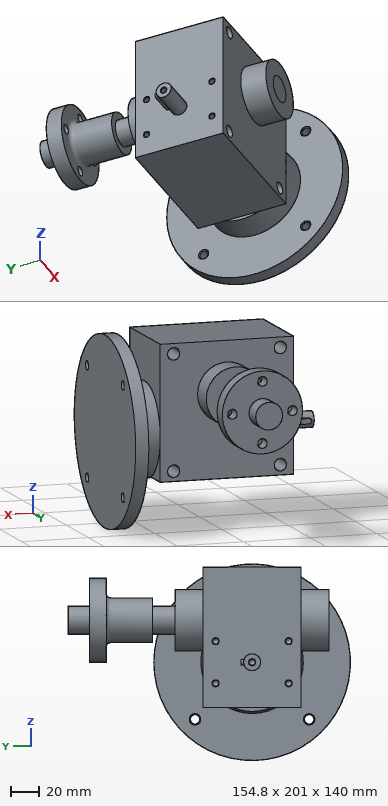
import cadquery as cq
import math


overall_depth = 201.0

housing_length = 100.0
housing_width = 70.0
housing_height = 100.0
housing_side = housing_width / 2
housing_end = housing_length / 2

screw_diameter = 20.0
screw_height = 30.0
screw_to_housing_top = 37.8
housing_top = screw_height + screw_to_housing_top
housing_middle_height = housing_top - housing_height / 2

boss_diameter = 44.0
boss_length = 19.9
boss_face = housing_side + boss_length

mounting_hole_diameter = 9.0
mounting_pitch_x = 80.0
mounting_pitch_z = 85.0

tapped_hole_diameter = 4.2
tapped_hole_depth = 10.0
tapped_pitch_y = 52.0
tapped_pitch_z = 30.0
drill_point_angle = 118

countersink_angle = 90
tapped_hole_mouth_diameter = 5.0

neck_length = 20.0
neck_start_diameter = 70.0
neck_end_diameter = 73.0
flange_diameter = 140.0
flange_thickness = 9.8
flange_hole_diameter = 6.6
flange_hole_mouth_diameter = 8.0
flange_hole_start_angle = 45
flange_hole_circle = 115.0
flange_hole_count = 4
flange_inner_face = housing_end + neck_length

screw_front_end = -boss_face
screw_back_end = overall_depth - flange_diameter / 2

nut_length = 45.0
nut_barrel_diameter = 32.0
nut_flange_diameter = 60.0
nut_flange_thickness = 12.0
nut_fillet = 3.0
nut_hole_diameter = 7.0
nut_hole_circle = 45.0
nut_hole_count = 4
screw_beyond_nut = 15.0
nut_back_face = screw_back_end - screw_beyond_nut

shaft_diameter = 12.0
shaft_length = 25.0
shaft_tip = -housing_end - shaft_length
key_length = 19.9
key_width = 4.0
key_height = 4.0
key_projection = 2.0
key_bottom = shaft_diameter / 2 + key_projection - key_height


def cylinder_x(diameter, start, length):
    """Cylinder on the input shaft axis, running towards +X."""
    return cq.Workplane("YZ", origin=(start, 0, 0)).circle(diameter / 2).extrude(length)


def cylinder_y(diameter, start, end):
    """Cylinder on the screw axis between two Y positions."""
    plane = cq.Workplane("XZ", origin=(0, end, screw_height))
    return plane.circle(diameter / 2).extrude(end - start)


def drilled_hole(x, y, z):
    """Cutter for a blind, countersunk hole with a drill point, entering towards +X."""
    radius = tapped_hole_diameter / 2
    mouth_radius = tapped_hole_mouth_diameter / 2
    mouth_depth = (mouth_radius - radius) / math.tan(math.radians(countersink_angle / 2))
    point_length = radius / math.tan(math.radians(drill_point_angle / 2))
    profile = (
        cq.Workplane("XY")
        .lineTo(0, mouth_radius)
        .lineTo(mouth_depth, radius)
        .lineTo(tapped_hole_depth, radius)
        .lineTo(tapped_hole_depth + point_length, 0)
        .close()
    )
    cutter = profile.revolve(360, (0, 0, 0), (1, 0, 0))
    return cutter.translate((x, y, z))


def make_flange():
    """Tapered neck and round motor flange."""
    neck = (
        cq.Workplane("XZ")
        .moveTo(housing_end, 0)
        .lineTo(housing_end, neck_start_diameter / 2)
        .lineTo(flange_inner_face, neck_end_diameter / 2)
        .lineTo(flange_inner_face, 0)
        .close()
        .revolve(360, (0, 0, 0), (1, 0, 0))
    )
    plate = (
        cylinder_x(flange_diameter, flange_inner_face, flange_thickness)
        .faces("<X")
        .workplane()
        .polarArray(flange_hole_circle / 2, flange_hole_start_angle, 360, flange_hole_count)
        .cskHole(flange_hole_diameter, flange_hole_mouth_diameter, countersink_angle)
    )
    return plate.union(neck)


def make_housing():
    """Block with bosses, motor flange, screw bore, mounting and tapped holes."""
    block = cq.Workplane("XY").box(housing_length, housing_width, housing_height)
    block = block.translate((0, 0, housing_middle_height))
    mounting_holes = (
        cq.Workplane("XZ", origin=(0, housing_side, housing_middle_height))
        .rarray(mounting_pitch_x, mounting_pitch_z, 2, 2)
        .circle(mounting_hole_diameter / 2)
        .extrude(housing_width)
    )
    body = block.cut(mounting_holes)
    body = body.union(cylinder_y(boss_diameter, -boss_face, boss_face))
    body = body.union(make_flange())
    body = body.cut(cylinder_y(screw_diameter, -boss_face, boss_face))
    for y in (-tapped_pitch_y / 2, tapped_pitch_y / 2):
        for z in (-tapped_pitch_z / 2, tapped_pitch_z / 2):
            body = body.cut(drilled_hole(-housing_end, y, z))
    return body


def make_screw():
    """Plain lead screw."""
    return cylinder_y(screw_diameter, screw_front_end, screw_back_end)


def make_nut():
    """Flanged nut on the screw, its barrel pointing at the housing."""
    barrel_face = nut_back_face - nut_length
    flange_face = nut_back_face - nut_flange_thickness
    barrel = cylinder_y(nut_barrel_diameter, barrel_face, nut_back_face)
    flange = cylinder_y(nut_flange_diameter, flange_face, nut_back_face)
    nut = barrel.union(flange)
    barrel_root = nut.edges("%CIRCLE").edges(cq.selectors.RadiusNthSelector(0)).edges(">Y")
    nut = barrel_root.fillet(nut_fillet)
    holes = (
        cq.Workplane("XZ", origin=(0, nut_back_face, screw_height))
        .polarArray(nut_hole_circle / 2, 0, 360, nut_hole_count)
        .circle(nut_hole_diameter / 2)
        .extrude(nut_flange_thickness)
    )
    return nut.cut(holes).cut(cylinder_y(screw_diameter, barrel_face, nut_back_face))


def make_key():
    """Round-ended key on the +Y side of the shaft, halfway along it."""
    key_middle = shaft_tip + shaft_length / 2
    plane = cq.Workplane("XZ", origin=(key_middle, key_bottom + key_height, 0))
    return plane.slot2D(key_length, key_width).extrude(key_height)


def make_shaft(key):
    """Input shaft with a centre hole in its tip and a seat for the key."""
    shaft = cylinder_x(shaft_diameter, shaft_tip, shaft_length)
    return shaft.cut(drilled_hole(shaft_tip, 0, 0)).cut(key)


housing = make_housing()
screw = make_screw()
nut = make_nut()
key = make_key()
shaft = make_shaft(key)

result = cq.Compound.makeCompound(
    [housing.val(), screw.val(), nut.val(), shaft.val(), key.val()]
)